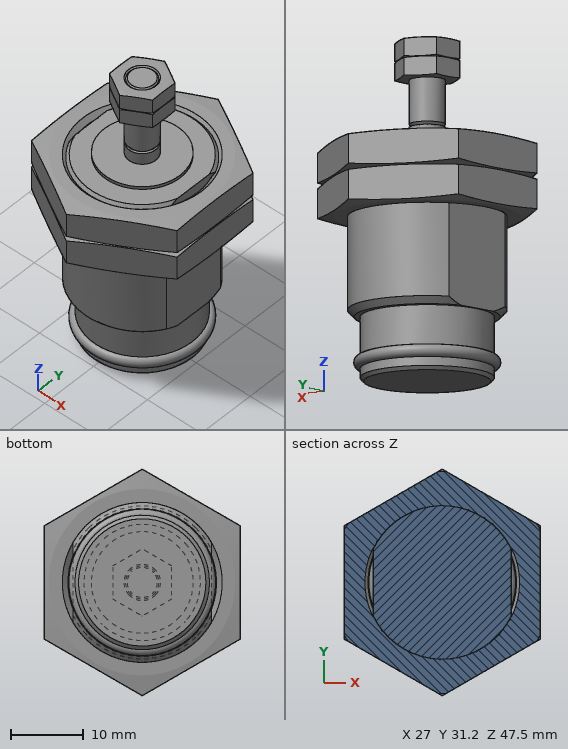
import cadquery as cq
import math

mount_thread_diameter = 22.0
mount_thread_core = 20.38
mount_thread_chamfer = 0.95
mount_nut_width = 27.0
mount_nut_height = 5.0

rod_diameter = 5.0
rod_thread_core = 4.13
rod_nut_width = 8.0
rod_nut_height = 2.7
nut_count = 2

total_height = 47.5
mount_thread_bottom = 9.0
shoulder_top = mount_thread_bottom + 24.0
boss_top = shoulder_top + 0.5
rod_thread_bottom = total_height - 12.0

boss_diameter = 14.0
spigot_diameter = 18.5
spigot_chamfer = 0.5
flats_width = 19.0

groove_diameter = 16.0
groove_bottom = 1.75
groove_width = 1.75

nut_face_ratio = 0.95
nut_face_angle = math.radians(9.0)


def hexagon_nut(width, height, thread_diameter, bore_diameter, bottom):
    """Hexagon nut with flats facing +X and -X, relieved corners and a countersunk bore."""
    corner_radius = width / math.sqrt(3)
    face_radius = nut_face_ratio * width / 2
    corner_drop = (corner_radius - face_radius) * math.tan(nut_face_angle)
    prism = cq.Workplane("XY").polygon(6, 2 * corner_radius).extrude(height)
    prism = prism.rotate((0, 0, 0), (0, 0, 1), 30)

    bore_radius = bore_diameter / 2
    thread_radius = thread_diameter / 2
    countersink = thread_radius - bore_radius
    turned_outline = (
        cq.Workplane("XZ")
        .moveTo(thread_radius, 0)
        .lineTo(face_radius, 0)
        .lineTo(corner_radius, corner_drop)
        .lineTo(corner_radius, height - corner_drop)
        .lineTo(face_radius, height)
        .lineTo(thread_radius, height)
        .lineTo(bore_radius, height - countersink)
        .lineTo(bore_radius, countersink)
        .close()
        .revolve(360, (0, 0, 0), (0, 1, 0))
    )
    return prism.intersect(turned_outline).translate((0, 0, bottom))


def nut_stack(width, height, thread_diameter, bore_diameter, top):
    """Nuts stacked face to face downward from the given top height."""
    nuts = []
    for index in range(nut_count):
        bottom = top - (index + 1) * height
        nuts.append(hexagon_nut(width, height, thread_diameter, bore_diameter, bottom))
    return nuts


def fit_into(body, nuts):
    """Threaded body with seats cut to the shape of the nuts it carries."""
    for nut in nuts:
        body = body.cut(nut)
    return body


def cylinder(diameter, bottom, top):
    """Upright cylinder on the Z axis between two heights."""
    return cq.Workplane("XY").workplane(offset=bottom).circle(diameter / 2).extrude(top - bottom)


def make_seal_ring():
    """Ring with a flat inner part that fills the groove and a half-round outer part."""
    inner_radius = groove_diameter / 2
    spigot_radius = spigot_diameter / 2
    groove_top = groove_bottom + groove_width
    round_radius = groove_width / 2
    return (
        cq.Workplane("XZ")
        .moveTo(inner_radius, groove_bottom)
        .lineTo(spigot_radius, groove_bottom)
        .threePointArc(
            (spigot_radius + round_radius, groove_bottom + round_radius),
            (spigot_radius, groove_top),
        )
        .lineTo(inner_radius, groove_top)
        .close()
        .revolve(360, (0, 0, 0), (0, 1, 0))
    )


def make_barrel():
    """Threaded barrel, chamfered at both ends, with flats on the +X and -X sides."""
    barrel = cylinder(mount_thread_diameter, mount_thread_bottom, shoulder_top)
    barrel = barrel.faces("<Z or >Z").chamfer(mount_thread_chamfer)
    flats = (
        cq.Workplane("XY")
        .workplane(offset=mount_thread_bottom)
        .rect(flats_width, mount_thread_diameter)
        .extrude(shoulder_top - mount_thread_bottom)
    )
    return barrel.intersect(flats)


def make_rod():
    """Plain lower rod and a threaded end chamfered at both ends."""
    plain_rod = cylinder(rod_diameter, boss_top, rod_thread_bottom)
    threaded_end = cylinder(rod_diameter, rod_thread_bottom, total_height)
    threaded_end = threaded_end.faces("<Z or >Z").chamfer((rod_diameter - rod_thread_core) / 2)
    return plain_rod.union(threaded_end)


def make_housing():
    """Spigot, threaded barrel, top boss and rod on one axis."""
    spigot = cylinder(spigot_diameter, 0, mount_thread_bottom).faces("<Z").chamfer(spigot_chamfer)
    boss = cylinder(boss_diameter, shoulder_top, boss_top)
    return spigot.union(make_barrel()).union(boss).union(make_rod())


mount_nuts = nut_stack(
    mount_nut_width, mount_nut_height, mount_thread_diameter, mount_thread_core, shoulder_top
)
rod_nuts = nut_stack(rod_nut_width, rod_nut_height, rod_diameter, rod_thread_core, total_height)
seal_ring = make_seal_ring()
housing = fit_into(make_housing(), mount_nuts + rod_nuts).cut(seal_ring)

nuts = [nut.val() for nut in mount_nuts + rod_nuts]
result = cq.Compound.makeCompound([housing.val(), seal_ring.val(), *nuts])